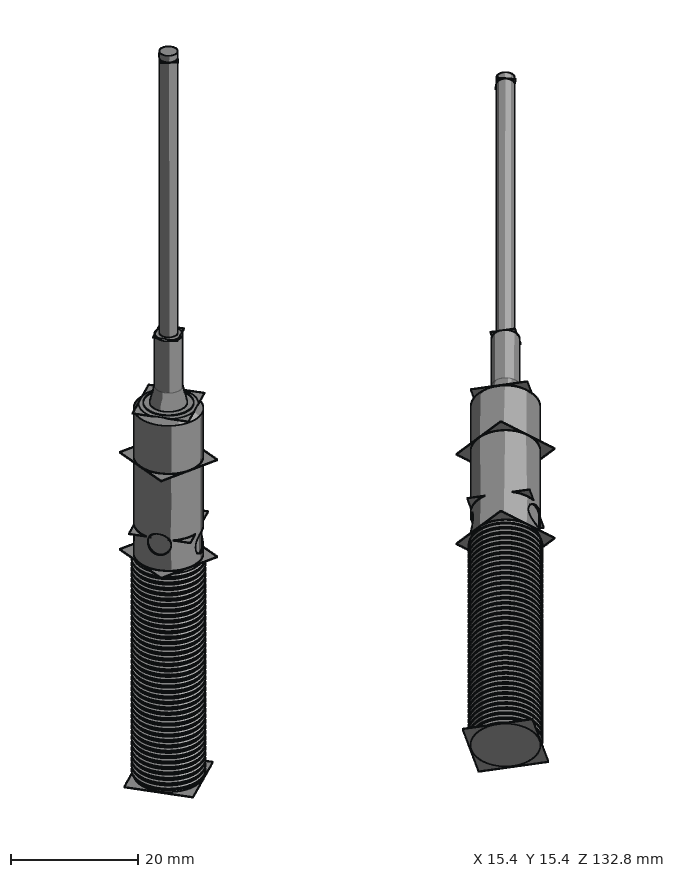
import cadquery as cq

THREAD_TOP = 40.6
JOINT = 58.5
CAP_SHOULDER = 68.3
CONE_TOP = 71.5
SLEEVE_TOP = 81.1
CABLE_TOP = 132.8
CABLE_FLANGE_Z = 131.5
NECK_FLANGE_Z = 46.2

BODY_DIAMETER = 11.0
THREAD_DIAMETER = 11.7
COLLAR_DIAMETER = 8.0
CONE_DIAMETER = 6.0
SLEEVE_DIAMETER = 4.5
CABLE_DIAMETER = 2.9

CAP_CHAMFER = 0.9
SLEEVE_CHAMFER = 0.3
COLLAR_HEIGHT = 0.1

PITCH = 1.0
CREST_WIDTH = 0.2
ROOT_WIDTH = 0.1
THREAD_TURNS = int(THREAD_TOP / PITCH)

FLANGE_THICKNESS = 0.1
BODY_FLANGE_ANGLE = 52.5
BOTTOM_FLANGE_SIDE = 11.3
NECK_FLANGE_SIDE = 10.1
SLEEVE_FLANGE_SIDE = SLEEVE_DIAMETER - 2 * SLEEVE_CHAMFER
CAP_FLANGE_SIDE = BODY_DIAMETER - 2 * CAP_CHAMFER
CABLE_FLANGE_ANGLE = 20.0

WINDOW_DEPTH = 0.3
ROUND_WINDOW_DIAMETER = 3.9
ROUND_WINDOW_Z = 45.4
SLOT_LENGTH = 5.5
SLOT_HEIGHT = 3.9
SLOT_Y = 0.5
SLOT_Z = 43.8


def cylinder(diameter, bottom, top):
    """Upright round bar on the Z axis."""
    return cq.Workplane("XY", origin=(0, 0, bottom)).circle(diameter / 2).extrude(top - bottom)


def square_flange(side, bottom, angle=0.0):
    """Thin square plate centred on the Z axis and turned by an angle."""
    plate = cq.Workplane("XY", origin=(0, 0, bottom)).rect(side, side).extrude(FLANGE_THICKNESS)
    return plate.rotate((0, 0, 0), (0, 0, 1), angle)


def threaded_barrel():
    """Threaded length as a stack of tapered ridges, one per pitch, around the root diameter."""
    root = BODY_DIAMETER / 2
    crest = THREAD_DIAMETER / 2
    flank_height = (PITCH - CREST_WIDTH - ROOT_WIDTH) / 2
    ridge_height = PITCH - ROOT_WIDTH
    first_ridge = (THREAD_TOP - THREAD_TURNS * PITCH + ROOT_WIDTH) / 2
    points = [(0, 0), (root, 0)]
    for turn in range(THREAD_TURNS):
        z = first_ridge + turn * PITCH
        points += [
            (root, z),
            (crest, z + flank_height),
            (crest, z + flank_height + CREST_WIDTH),
            (root, z + ridge_height),
        ]
    points += [(root, THREAD_TOP), (0, THREAD_TOP)]
    return cq.Workplane("XZ").polyline(points).close().revolve(360, (0, 0, 0), (0, 1, 0))


def window_cutters():
    """Round window on the -Y side and slots on the -X and +X sides."""
    floor = BODY_DIAMETER / 2 - WINDOW_DEPTH
    reach = BODY_DIAMETER
    round_window = (
        cq.Workplane("XZ", origin=(0, 0, ROUND_WINDOW_Z))
        .circle(ROUND_WINDOW_DIAMETER / 2)
        .extrude(reach)
    )
    slots = (
        cq.Workplane("YZ", origin=(-reach, SLOT_Y, SLOT_Z))
        .slot2D(SLOT_LENGTH, SLOT_HEIGHT)
        .extrude(2 * reach)
    )
    core = cylinder(2 * floor, 0, JOINT)
    return round_window.union(slots).cut(core)


def build_housing():
    """Threaded barrel and plain neck with windows and thin square flanges."""
    neck = cylinder(BODY_DIAMETER, THREAD_TOP, JOINT)
    neck = neck.cut(window_cutters())
    housing = threaded_barrel().union(neck)
    housing = housing.union(square_flange(BOTTOM_FLANGE_SIDE, 0))
    housing = housing.union(square_flange(NECK_FLANGE_SIDE, NECK_FLANGE_Z))
    for bottom in (THREAD_TOP, JOINT - FLANGE_THICKNESS):
        housing = housing.union(square_flange(BODY_DIAMETER, bottom, BODY_FLANGE_ANGLE))
    return housing


def build_cap():
    """Chamfered cap with a low collar, a cone and a sleeve that ends at the cable."""
    cone_base = CAP_SHOULDER + COLLAR_HEIGHT
    cap = cylinder(BODY_DIAMETER, JOINT, CAP_SHOULDER).faces(">Z").chamfer(CAP_CHAMFER)
    collar = cylinder(COLLAR_DIAMETER, CAP_SHOULDER, cone_base)
    cone = (
        cq.Workplane("XY", origin=(0, 0, cone_base))
        .circle(CONE_DIAMETER / 2)
        .workplane(offset=CONE_TOP - cone_base)
        .circle(SLEEVE_DIAMETER / 2)
        .loft()
    )
    sleeve = cylinder(SLEEVE_DIAMETER, CONE_TOP, SLEEVE_TOP).faces(">Z").chamfer(SLEEVE_CHAMFER)
    cap = cap.union(collar).union(cone).union(sleeve)
    cap = cap.union(square_flange(CAP_FLANGE_SIDE, CAP_SHOULDER - FLANGE_THICKNESS))
    return cap.union(square_flange(SLEEVE_FLANGE_SIDE, SLEEVE_TOP - FLANGE_THICKNESS))


def build_cable():
    """Round cable with a small square flange just below its free end."""
    cable = cylinder(CABLE_DIAMETER, SLEEVE_TOP, CABLE_TOP)
    return cable.union(square_flange(CABLE_DIAMETER, CABLE_FLANGE_Z, CABLE_FLANGE_ANGLE))


housing = build_housing()
cap = build_cap()
cable = build_cable()

result = cq.Compound.makeCompound([housing.val(), cap.val(), cable.val()])